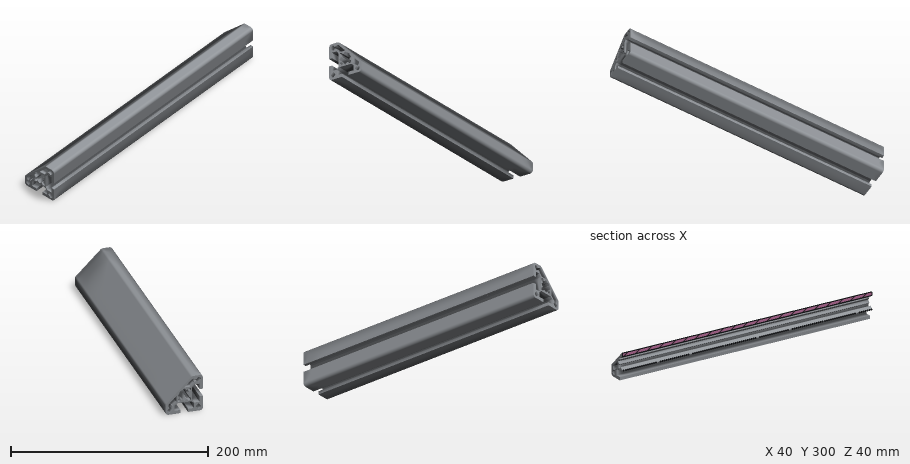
import cadquery as cq
import math

length = 300.0
width = 40.0
half = width / 2
bevel_offset = 11.7
outer_radius = 3.3
bevel_wall = 2.5

tube_half = 8.5
tube_wall = 1.5

slot_opening = 8.0
lip_thickness = 3.5
slot_half_width = 10.2
slot_chamfer_depth = 2.0
slot_chamfer_height = 3.0

channel_half = tube_half - tube_wall
groove_depth = 0.3
tooth_tip_near = 2.5
tooth_tip_far = 3.0
tooth_root = 4.2
tooth_tip_level = 5.0
channel_corner_cut = 9.0

screw_inset = 5.0
screw_centre = half - screw_inset
screw_radius = 3.0

chamber_end = 10.5
chamber_top = 16.8
web_offset = 1.8
passage_mouth = 3.5
passage_neck = 1.5


def mirrored(points):
    """Reflect section points across the symmetry line z = -x."""
    return [(-z, -x) for x, z in points]


def prism(points):
    """Closed polygon in the section, run along the whole length."""
    return cq.Workplane("XZ").polyline(points).close().extrude(length / 2, both=True)


def outer_body():
    slope_end = half - bevel_offset
    outline = [
        (-half, -half),
        (half, -half),
        (half, half),
        (slope_end, half),
        (-half, -slope_end),
    ]
    return prism(outline).edges("|Y").fillet(outer_radius)


def slot_points():
    """T-slot opening to +X."""
    mouth = slot_opening / 2
    lip = half - lip_thickness
    upper = [
        (tube_half, slot_half_width - slot_chamfer_height),
        (tube_half + slot_chamfer_depth, slot_half_width),
        (lip, slot_half_width),
        (lip, mouth),
        (half, mouth),
    ]
    lower = [(x, -z) for x, z in reversed(upper)]
    return upper + lower


def chamber_points():
    """Hollow under the upper part of the slope."""
    inner_offset = bevel_offset - bevel_wall * math.sqrt(2)
    return [
        (tube_half - inner_offset, tube_half),
        (tube_half - web_offset, tube_half),
        (chamber_end, chamber_end + web_offset),
        (chamber_end, chamber_top),
        (chamber_top - inner_offset, chamber_top),
    ]


def passage_points():
    """Tapered gap from the upper chamber into the upper screw channel."""
    neck_x = screw_centre - screw_radius / 2
    return [
        (chamber_end, screw_centre - passage_mouth / 2),
        (neck_x, screw_centre - passage_neck / 2),
        (neck_x, screw_centre + passage_neck / 2),
        (chamber_end, screw_centre + passage_mouth / 2),
    ]


def central_channel():
    """Square channel with a pair of teeth and a V-groove on each side."""
    side = [
        (-tooth_root, channel_half),
        (-tooth_tip_far, tooth_tip_level),
        (-tooth_tip_near, tooth_tip_level),
        (0, channel_half + groove_depth),
        (tooth_tip_near, tooth_tip_level),
        (tooth_tip_far, tooth_tip_level),
        (tooth_root, channel_half),
        (channel_half, channel_half),
    ]
    outline = []
    for _ in range(4):
        outline += side
        side = [(z, -x) for x, z in side]
    below_slope = [
        (-channel_corner_cut - half, -half),
        (half, half + channel_corner_cut),
        (half, -half),
    ]
    return prism(outline).intersect(prism(below_slope))


def screw_channel(x_side, z_side):
    """Diamond hole whose quadrant facing the profile corner is round."""
    diagonal = screw_radius / math.sqrt(2)
    return (
        cq.Workplane("XZ")
        .center(x_side * screw_centre, z_side * screw_centre)
        .moveTo(x_side * screw_radius, 0)
        .threePointArc((x_side * diagonal, z_side * diagonal), (0, z_side * screw_radius))
        .lineTo(-x_side * screw_radius, 0)
        .lineTo(0, -z_side * screw_radius)
        .close()
        .extrude(length / 2, both=True)
    )


result = outer_body().cut(central_channel())
for points in (slot_points(), chamber_points(), passage_points()):
    result = result.cut(prism(points)).cut(prism(mirrored(points)))
for x_side, z_side in ((1, 1), (1, -1), (-1, -1)):
    result = result.cut(screw_channel(x_side, z_side))